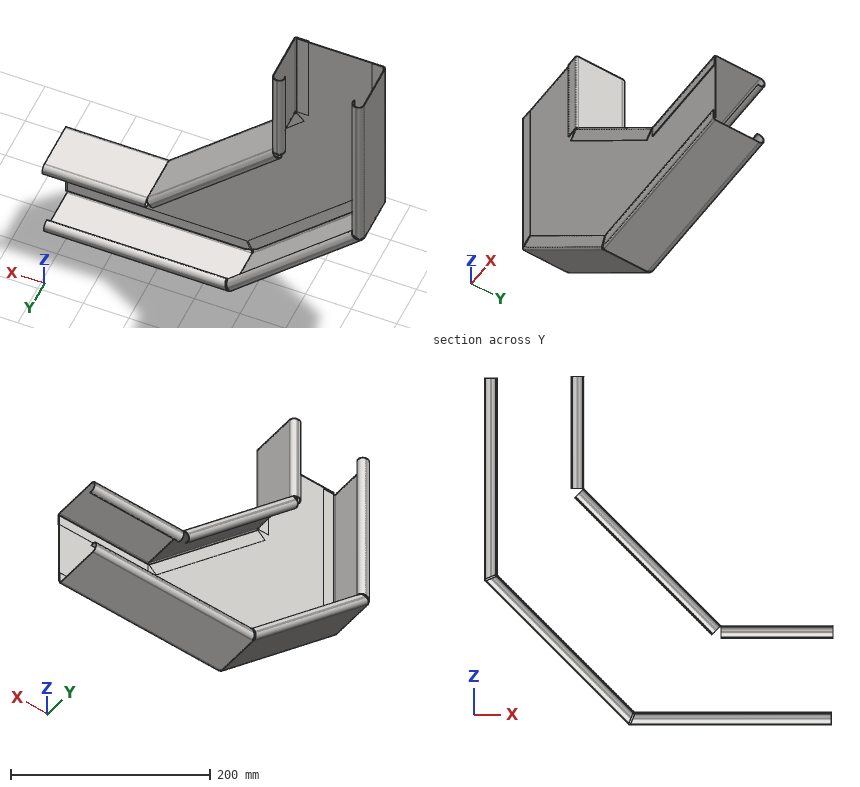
import cadquery as cq
import math


size = 350.3
depth = 61.3
channel_width = 100.0
sheet = 1.0
bend_angle = 45.0
outer_corner = 145.5
inner_corner = 237.5
outer_wall_setback = 1.8
flange_width = 15.0
bend_radius = 2.5
lip_radius = 6.0
lip_crown = 1.0
lip_end_angle = 28.0
mitre_gap = 1.8
plate_corner_relief = 2.8

reach = flange_width + sheet
lip_start = depth - lip_radius

outer_end = size - outer_wall_setback
outer_path = [(outer_end, 0), (outer_corner, 0), (0, outer_corner), (0, outer_end)]
inner_path = [
    (channel_width, size),
    (channel_width, inner_corner),
    (inner_corner, channel_width),
    (size, channel_width),
]
plate_outer_path = [(size, 0), *outer_path[1:3], (0, size)]


def direction(start, end):
    """Unit vector from start to end."""
    length = math.dist(start, end)
    return ((end[0] - start[0]) / length, (end[1] - start[1]) / length)


def inward(along):
    """Unit vector pointing into the channel from a wall running along `along`."""
    return (along[1], -along[0])


def moved(point, vector, distance):
    return (point[0] + distance * vector[0], point[1] + distance * vector[1])


def corner_bisector(path, i):
    """Unit vector along the mitre of corner i, and its length per unit of inset."""
    before = inward(direction(path[i - 1], path[i]))
    after = inward(direction(path[i], path[i + 1]))
    bisector = direction((0, 0), (before[0] + after[0], before[1] + after[1]))
    stretch = 1 / (bisector[0] * before[0] + bisector[1] * before[1])
    return bisector, stretch


def inset(path, distance):
    """The path shifted into the channel, with mitred corners and square ends."""
    points = [moved(path[0], inward(direction(path[0], path[1])), distance)]
    for i in range(1, len(path) - 1):
        bisector, stretch = corner_bisector(path, i)
        points.append(moved(path[i], bisector, distance * stretch))
    points.append(moved(path[-1], inward(direction(path[-2], path[-1])), distance))
    return points


def prism(outline, y_start, y_end):
    """An XZ outline extruded from y_start to y_end."""
    plane = cq.Plane(origin=(0, y_start, 0), xDir=(1, 0, 0), normal=(0, -1, 0))
    return cq.Workplane(plane).polyline(outline).close().extrude(y_start - y_end)


def run_plane(start, end):
    """Section plane of a wall run: local x into the channel, local y along +Y."""
    along = direction(start, end)
    across = inward(along)
    return cq.Plane(
        origin=(start[0], 0, start[1]),
        xDir=(across[0], 0, across[1]),
        normal=(along[0], 0, along[1]),
    )


def flange_section(plane):
    """Flat flange and its bend up to the web."""
    inner_radius = bend_radius - sheet
    diagonal = math.sqrt(0.5)
    outer_mid = bend_radius - bend_radius * diagonal
    inner_mid = bend_radius - inner_radius * diagonal
    return (
        cq.Workplane(plane)
        .moveTo(flange_width, 0)
        .lineTo(bend_radius, 0)
        .threePointArc((outer_mid, outer_mid), (0, bend_radius))
        .lineTo(sheet, bend_radius)
        .threePointArc((inner_mid, inner_mid), (bend_radius, sheet))
        .lineTo(flange_width, sheet)
        .close()
    )


def lip_section(plane):
    """Rolled lip: slightly more than a half turn into the channel, with a flat crown."""
    inner_radius = lip_radius - sheet
    near_center = lip_radius
    far_center = lip_radius + lip_crown
    end_angle = -math.radians(lip_end_angle)
    eighth_turn = math.pi / 4

    def around(center, radius, angle):
        return (center + radius * math.cos(angle), lip_start + radius * math.sin(angle))

    return (
        cq.Workplane(plane)
        .moveTo(0, lip_start)
        .threePointArc(around(near_center, lip_radius, 3 * eighth_turn), (near_center, depth))
        .lineTo(far_center, depth)
        .threePointArc(
            around(far_center, lip_radius, eighth_turn), around(far_center, lip_radius, end_angle)
        )
        .lineTo(*around(far_center, inner_radius, end_angle))
        .threePointArc(
            around(far_center, inner_radius, eighth_turn), (far_center, depth - sheet)
        )
        .lineTo(near_center, depth - sheet)
        .threePointArc(around(near_center, inner_radius, 3 * eighth_turn), (sheet, lip_start))
        .close()
    )


def wall(path):
    """Folded wall: one continuous web with a flange and a lip on every run."""
    body = prism(path + inset(path, sheet)[::-1], bend_radius, lip_start)
    mitre_line = inset(path, reach)
    for i in range(len(path) - 1):
        start, end = path[i], path[i + 1]
        length = math.dist(start, end)
        plane = run_plane(start, end)
        mitred_strip = prism([start, end, mitre_line[i + 1], mitre_line[i]], 0, depth)
        for section in (flange_section(plane), lip_section(plane)):
            body = body.union(section.extrude(length).intersect(mitred_strip))
    return body


def mitre_slot(path, i, y_start, y_end):
    """Clearance slot along the mitre of corner i."""
    bisector, stretch = corner_bisector(path, i)
    side = inward(bisector)
    outside = moved(path[i], bisector, -sheet)
    inside = moved(path[i], bisector, reach * stretch)
    half = mitre_gap / 2
    outline = [
        moved(outside, side, half),
        moved(inside, side, half),
        moved(inside, side, -half),
        moved(outside, side, -half),
    ]
    return prism(outline, y_start, y_end)


def make_outer_wall():
    """Outer wall; its flanges and lips meet in mitres and are slotted apart."""
    body = wall(outer_path)
    for i in (1, 2):
        body = body.cut(mitre_slot(outer_path, i, 0, bend_radius))
        body = body.cut(mitre_slot(outer_path, i, lip_start, depth))
    return body.solids()


def make_inner_wall():
    """Inner wall; its flanges and lips end square and fan apart at the bends."""
    return wall(inner_path).solids()


def make_base_plate():
    """Flat plate resting on the flanges, with trimmed corners at the outer bends."""
    outer_edge = inset(plate_outer_path, bend_radius)
    inner_edge = inset(inner_path, bend_radius)
    half_bend = math.radians(bend_angle) / 2
    trim = plate_corner_relief / math.sin(half_bend)
    trimmed_edge = [outer_edge[0]]
    for i in (1, 2):
        corner = outer_edge[i]
        trimmed_edge.append(moved(corner, direction(corner, outer_edge[i - 1]), trim))
        trimmed_edge.append(moved(corner, direction(corner, outer_edge[i + 1]), trim))
    trimmed_edge.append(outer_edge[-1])
    return prism(trimmed_edge + inner_edge, sheet, 2 * sheet)


outer_wall = make_outer_wall()
inner_wall = make_inner_wall()
base_plate = make_base_plate()

result = cq.Compound.makeCompound([outer_wall.val(), inner_wall.val(), base_plate.val()])